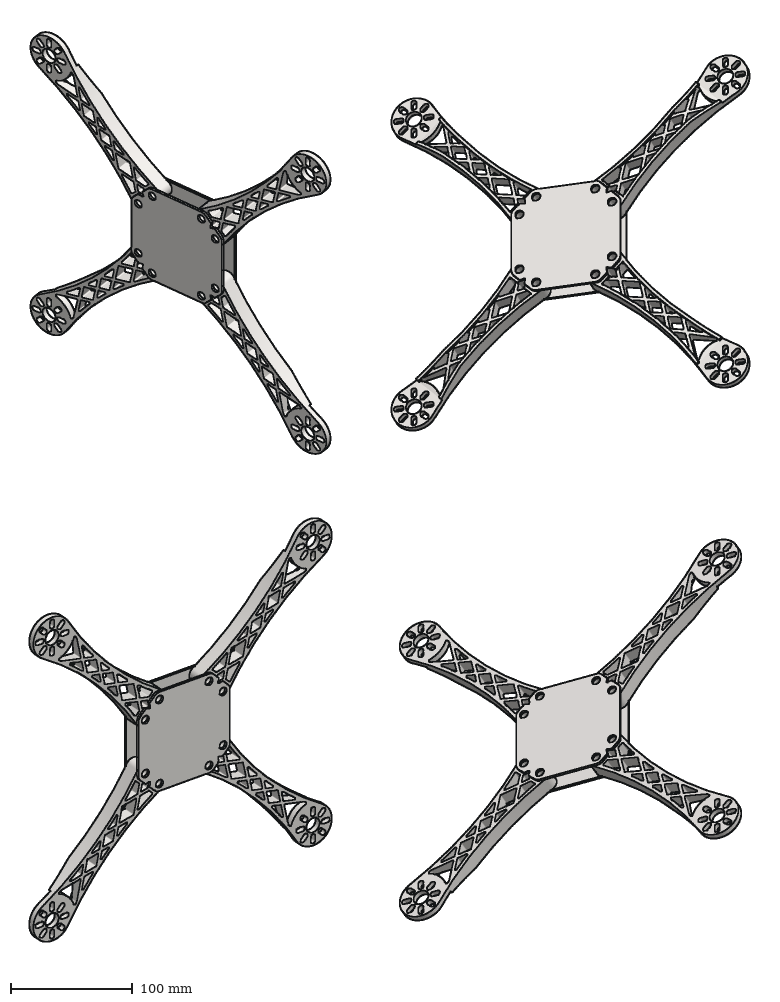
import cadquery as cq
import math


frame_size = 305.0

plate_thickness = 2.3
arm_thickness = 14.5
pad_thickness = 5.8
recess_depth = 2.0
back_face = arm_thickness / 2
front_face = -arm_thickness / 2
pad_back = front_face + pad_thickness

bolt_far = 39.7
bolt_near = 25.3
bolt_radius = 3.7
bolt_station = (bolt_far + bolt_near) / math.sqrt(2)
bolt_offset = (bolt_far - bolt_near) / math.sqrt(2)

plate_margin = 7.0
plate_half = bolt_far + plate_margin
corner_cut = 2 * plate_half - math.sqrt(2) * (bolt_station + plate_margin)

arm_count = 4
first_arm_angle = 45
arm_angles = [first_arm_angle + index * 360 / arm_count for index in range(arm_count)]
motor_radius = 19.2
motor_station = (frame_size / 2 - motor_radius) * math.sqrt(2)
boss_radius = 7.5
flank_radius = 290.0

shaft_radius = 6.7
slot_count = 8
slot_circle_radius = 12.8
slot_length = 8.5
slot_width = 4.5
ramp_foot_station = 169.7
ramp_top_station = 138.8

rim = 3.0
strut_width = 3.0
strut_slope = 0.65
strut_crossings = [63.5, 94.5, 118.5, 144.0]
window_start = 55.5
window_end_radius = 23.5
lattice_fillet = 1.0
diamond_station = 54.5

strut_angle = math.degrees(math.atan(strut_slope))
strut_half_run = strut_width / 2 / math.sin(math.radians(strut_angle))
diamond_half_length = strut_crossings[0] - strut_half_run - diamond_station
diamond_half_height = diamond_half_length * strut_slope


def circle_crossing(center_a, radius_a, center_b, radius_b):
    """Crossing point of two circles that lies to the left when going from a to b."""
    dx = center_b[0] - center_a[0]
    dy = center_b[1] - center_a[1]
    gap = math.hypot(dx, dy)
    along = (radius_a**2 - radius_b**2 + gap**2) / (2 * gap)
    across = math.sqrt(radius_a**2 - along**2)
    return (
        center_a[0] + (along * dx - across * dy) / gap,
        center_a[1] + (along * dy + across * dx) / gap,
    )


def toward(start, end, distance):
    """Point at a distance from start in the direction of end."""
    gap = math.dist(start, end)
    return tuple(s + (e - s) * distance / gap for s, e in zip(start, end))


def mirrored(point):
    return (point[0], -point[1])


motor_center = (motor_station, 0)
boss_center = (bolt_station, bolt_offset)
flank_center = circle_crossing(
    boss_center, flank_radius + boss_radius, motor_center, flank_radius + motor_radius
)


def flank_point(station, inset=0.0):
    """Point on the upper flank arc, moved into the arm by the inset."""
    run = station - flank_center[0]
    return (station, flank_center[1] - math.sqrt((flank_radius + inset) ** 2 - run**2))


flank_middle = flank_center[0]


def arm_plane():
    """Plane of the arm's back face; positive extrusion runs to the front face."""
    return cq.Workplane("XZ", origin=(0, back_face, 0))


def arm_blank():
    pad_tangent = toward(motor_center, flank_center, motor_radius)
    boss_tangent = toward(boss_center, flank_center, boss_radius)
    boss_diagonal = boss_radius / math.sqrt(2)
    boss_side = (bolt_station - boss_diagonal, bolt_offset + boss_diagonal)
    boss_end = (bolt_station - boss_radius, bolt_offset)
    waist = flank_point(flank_middle)
    return (
        arm_plane()
        .moveTo(*mirrored(boss_end))
        .lineTo(*boss_end)
        .threePointArc(boss_side, boss_tangent)
        .threePointArc(waist, pad_tangent)
        .threePointArc((motor_station + motor_radius, 0), mirrored(pad_tangent))
        .threePointArc(mirrored(waist), mirrored(boss_tangent))
        .threePointArc(mirrored(boss_side), mirrored(boss_end))
        .close()
        .extrude(arm_thickness)
    )


def ramp_cut():
    """Everything behind the sloped rims of the arm and the thin motor pad."""
    beyond_tip = motor_station + 2 * motor_radius
    return (
        cq.Workplane("XY")
        .moveTo(ramp_top_station, back_face)
        .lineTo(ramp_foot_station, pad_back + recess_depth)
        .lineTo(ramp_foot_station, pad_back)
        .lineTo(beyond_tip, pad_back)
        .lineTo(beyond_tip, back_face)
        .close()
        .extrude(2 * motor_radius, both=True)
    )


def lattice_recess():
    """Shallow trough between the rims, parallel to their backs and running out at the pad."""
    start = flank_point(window_start, rim)
    waist = flank_point(flank_middle, rim)
    end = flank_point(ramp_foot_station, rim)
    between_rims = (
        arm_plane()
        .moveTo(*mirrored(start))
        .lineTo(*start)
        .threePointArc(waist, end)
        .lineTo(*mirrored(end))
        .threePointArc(mirrored(waist), mirrored(start))
        .close()
        .extrude(arm_thickness)
    )
    trough_floor = back_face - recess_depth
    behind_lattice = (
        cq.Workplane("XY")
        .moveTo(window_start, back_face)
        .lineTo(window_start, trough_floor)
        .lineTo(ramp_top_station, trough_floor)
        .lineTo(ramp_foot_station, pad_back)
        .lineTo(ramp_foot_station, back_face)
        .close()
        .extrude(2 * motor_radius, both=True)
    )
    return between_rims.intersect(behind_lattice)


def motor_holes():
    shaft = arm_plane().center(*motor_center).circle(shaft_radius).extrude(arm_thickness)
    slots = (
        arm_plane()
        .center(*motor_center)
        .polarArray(slot_circle_radius, 0, 360, slot_count)
        .slot2D(slot_length, slot_width)
        .extrude(arm_thickness)
    )
    return shaft.union(slots)


def bolt_holes():
    return (
        arm_plane()
        .pushPoints([boss_center, mirrored(boss_center)])
        .circle(bolt_radius)
        .extrude(arm_thickness)
    )


def root_diamond(plane, depth):
    return (
        plane.moveTo(diamond_station - diamond_half_length, 0)
        .lineTo(diamond_station, diamond_half_height)
        .lineTo(diamond_station + diamond_half_length, 0)
        .lineTo(diamond_station, -diamond_half_height)
        .close()
        .extrude(depth)
    )


def lattice_struts():
    """Crossed bars; bars from neighbouring crossings meet halfway between them."""
    last_reach = motor_station - window_end_radius - strut_crossings[-1]
    gaps = [b - a for a, b in zip(strut_crossings, strut_crossings[1:])]
    reaches_out = [gap / 2 for gap in gaps] + [last_reach + rim]
    reaches_in = [strut_crossings[0] - window_start + rim] + [gap / 2 for gap in gaps]
    struts = cq.Workplane("XZ")
    for station, reach_in, reach_out in zip(strut_crossings, reaches_in, reaches_out):
        stretch = 1 / math.cos(math.radians(strut_angle))
        bar_length = (reach_in + reach_out) * stretch
        bar_middle = (reach_out - reach_in) / 2 * stretch
        for angle in (strut_angle, -strut_angle):
            bar = (
                arm_plane()
                .center(station, 0)
                .transformed(rotate=(0, 0, angle))
                .center(bar_middle, 0)
                .rect(bar_length, strut_width)
                .extrude(arm_thickness)
            )
            struts = struts.add(bar)
    return struts.combine()


def lattice_openings():
    start = flank_point(window_start, rim)
    waist = flank_point(flank_middle, rim)
    end = circle_crossing(motor_center, window_end_radius, flank_center, flank_radius + rim)
    window = (
        arm_plane()
        .moveTo(*mirrored(start))
        .lineTo(*start)
        .threePointArc(waist, end)
        .threePointArc((motor_station - window_end_radius, 0), mirrored(end))
        .threePointArc(mirrored(waist), mirrored(start))
        .close()
        .extrude(arm_thickness)
        .union(root_diamond(arm_plane(), arm_thickness))
    )
    return window.cut(lattice_struts()).edges("|Y").fillet(lattice_fillet)


def make_arm():
    return (
        arm_blank()
        .cut(lattice_openings())
        .cut(ramp_cut())
        .cut(lattice_recess())
        .cut(motor_holes())
        .cut(bolt_holes())
    )


def make_plate(back):
    """Square plate whose back face is at the given Y."""
    plane = cq.Workplane("XZ", origin=(0, back, 0))
    side = 2 * plate_half
    bolts = [
        point
        for sx in (1, -1)
        for sz in (1, -1)
        for point in ((sx * bolt_far, sz * bolt_near), (sx * bolt_near, sz * bolt_far))
    ]
    plate = plane.rect(side, side).extrude(plate_thickness)
    plate = plate.edges("|Y").chamfer(corner_cut).edges("|Y").fillet(plate_margin)
    plate = plate.cut(plane.pushPoints(bolts).circle(bolt_radius).extrude(plate_thickness))
    notch = root_diamond(plane, plate_thickness).edges("|Y").fillet(lattice_fillet)
    for angle in arm_angles:
        plate = plate.cut(turned(notch, angle))
    return plate


def turned(body, angle):
    return body.rotate((0, 0, 0), (0, 1, 0), angle)


arm = make_arm()
arms = [turned(arm, angle) for angle in arm_angles]
front_plate = make_plate(front_face)
back_plate = make_plate(back_face + plate_thickness)

result = cq.Compound.makeCompound(
    [front_plate.val(), back_plate.val(), *[copy.val() for copy in arms]]
)